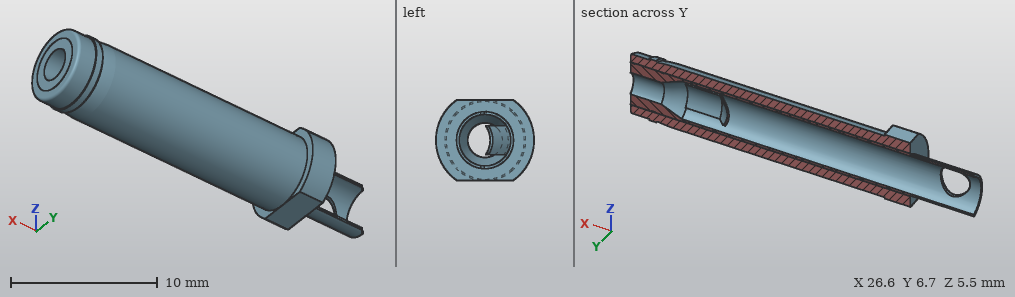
import cadquery as cq
import math

flange_start_x = 4.92
flange_end_x = 6.92
taper_start_x = 23.5
ramp_start_x = 24.5
lip_start_x = 24.6
lip_end_x = 25.15
overall_length = 26.6

flange_diameter = 6.7
flange_radius = flange_diameter / 2
barrel_diameter = 5.5
barrel_radius = barrel_diameter / 2
flats_width = barrel_diameter
taper_drop = 0.1
nose_step = 0.093
nose_rounding = 0.2

contact_radius = 1.95
bore_radius = 1.75
entry_radius = 1.17
cone_start_x = 22.6
cone_length = 1.6
cone_end_x = cone_start_x + cone_length
cup_edge_y = 0.3
cup_corner_radius = 0.25
solder_hole_x = 2.0
solder_hole_radius = 1.15

spring_width = 2.0
spring_thickness = 0.19
spring_foot_length = 2.65
spring_slope = 45.0
spring_tip_drop = 1.22


def make_housing():
    flange = (
        cq.Workplane("YZ", origin=(flange_start_x, 0, 0))
        .circle(flange_radius)
        .extrude(flange_end_x - flange_start_x)
    )
    flats = cq.Workplane("XY").box(2 * overall_length, flange_diameter, flats_width)

    taper_length = ramp_start_x - taper_start_x
    taper_arc_radius = (taper_length**2 + taper_drop**2) / (2 * taper_drop)
    nose_radius = barrel_radius - nose_step
    barrel = (
        cq.Workplane("XZ")
        .moveTo(flange_start_x, 0)
        .lineTo(flange_start_x, barrel_radius)
        .lineTo(taper_start_x, barrel_radius)
        .radiusArc((ramp_start_x, barrel_radius - taper_drop), taper_arc_radius)
        .lineTo(lip_start_x, barrel_radius)
        .lineTo(lip_end_x, barrel_radius)
        .lineTo(lip_end_x, nose_radius)
        .lineTo(overall_length - nose_rounding, nose_radius)
        .radiusArc((overall_length, nose_radius - nose_rounding), nose_rounding)
        .lineTo(overall_length, 0)
        .close()
        .revolve(360, (0, 0, 0), (1, 0, 0))
    )
    contact_bore = cq.Workplane("YZ").circle(contact_radius).extrude(overall_length)
    return flange.intersect(flats).union(barrel).cut(contact_bore)


def make_contact():
    tube = (
        cq.Workplane("XZ")
        .moveTo(0, bore_radius)
        .lineTo(0, contact_radius)
        .lineTo(overall_length, contact_radius)
        .lineTo(overall_length, entry_radius)
        .lineTo(cone_end_x, entry_radius)
        .lineTo(cone_start_x, bore_radius)
        .close()
        .revolve(360, (0, 0, 0), (1, 0, 0))
    )
    cup_opening = (
        cq.Workplane("XY")
        .moveTo(flange_start_x, cup_edge_y)
        .lineTo(cup_corner_radius, cup_edge_y)
        .radiusArc((0, cup_edge_y - cup_corner_radius), cup_corner_radius)
        .lineTo(0, contact_radius)
        .lineTo(flange_start_x, contact_radius)
        .close()
        .extrude(contact_radius, both=True)
    )
    solder_hole = (
        cq.Workplane("XZ")
        .center(solder_hole_x, 0)
        .circle(solder_hole_radius)
        .extrude(contact_radius)
    )
    return tube.cut(cup_opening).cut(solder_hole)


def make_spring():
    half_width = spring_width / 2
    outer_edge_y = -math.sqrt(bore_radius**2 - half_width**2)
    inner_edge_y = outer_edge_y + spring_thickness
    foot_start_x = cone_start_x - spring_foot_length
    section = (
        cq.Workplane("YZ", origin=(foot_start_x, 0, 0))
        .moveTo(outer_edge_y, -half_width)
        .threePointArc((-bore_radius, 0), (outer_edge_y, half_width))
        .lineTo(inner_edge_y, half_width)
        .threePointArc((spring_thickness - bore_radius, 0), (inner_edge_y, -half_width))
        .close()
    )
    outline = section.val()
    leaf_run = spring_tip_drop / math.tan(math.radians(spring_slope))
    foot = cq.Solid.extrudeLinear(outline, [], cq.Vector(spring_foot_length, 0, 0))
    leaf = cq.Solid.extrudeLinear(outline, [], cq.Vector(-leaf_run, spring_tip_drop, 0))
    return cq.Workplane("XY").newObject([foot]).union(cq.Workplane("XY").newObject([leaf]))


housing = make_housing()
contact = make_contact()
spring = make_spring()

result = cq.Compound.makeCompound([housing.val(), contact.val(), spring.val()])